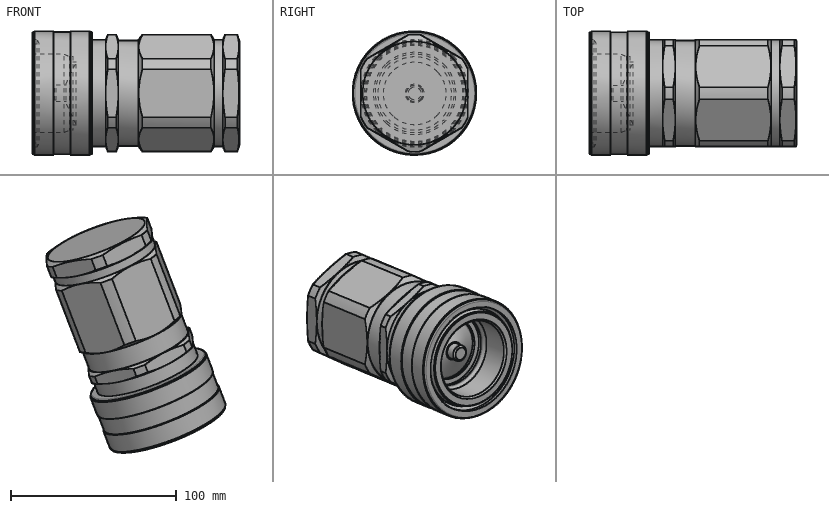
import cadquery as cq
import math

total_length = 125.0
tolerance = 0.01

sleeve_radius = 74.9 / 2
band_radius = 73.9 / 2
sleeve_end = 36.0
band_start = 12.5
band_end = 23.3
sleeve_front_step = 1.0
sleeve_front_bevel = 0.4
sleeve_end_fillet = 0.8
band_bevel = 0.4
sleeve_rear_step = 35.1
sleeve_rear_bevel = 0.8

neck_radius = 64.7 / 2
middle_neck_radius = 63.9 / 2

across_flats = 64.7
hex_corner_radius = 35.4
hex_face_radius = 64.3 / 2
end_face_radius = 31.3
front_hex = (44.1, 51.9)
body_hex = (64.0, 109.7)
end_hex = (114.9, total_length)
nut_bevel = 1.4
body_front_bevel = 2.4
body_rear_bevel = 1.9

channel_mouth_radius = 32.5
channel_floor_radius = 30.5
channel_wall_depth = 2.5
channel_depth = 3.8
tube_tip_radius = 58.0 / 2
tube_lip_radius = 29.6
tube_lip_length = 0.6
tube_root_radius = 30.4

bore_mouth_radius = 24.9
bore_radius = 23.8
bore_mouth_depth = 1.3
bore_depth = 18.8
seat_start = 21.6
seat_bevel = 0.6
seat_bevel_radius = 22.5
seat_radius = 44.4 / 2
seat_depth = 24.4
cavity_radius = 37.9 / 2
cavity_depth = 26.3

cone_base_radius = 17.9
cone_tip_radius = 5.6
cone_rim_height = 0.5
cone_height = 6.3
pin_radius = 9.9 / 2
pin_tip_radius = 3.9
pin_tip_chamfer = 1.0
pin_start = 13.1


def revolve_about_x(points):
    """Solid of revolution from an (x, radius) outline that closes on the axis."""
    outline = [(points[0][0], 0)] + points + [(points[-1][0], 0)]
    return cq.Workplane("XY").polyline(outline).close().revolve(360, (0, 0, 0), (1, 0, 0))


def hexagon(span, front_bevel, rear_bevel, rear_face_radius=hex_face_radius):
    """Hexagonal prism with turned corners and conical bevels at both ends."""
    start, end = span
    turned = revolve_about_x([
        (start, hex_face_radius),
        (start + front_bevel, hex_corner_radius),
        (end - rear_bevel, hex_corner_radius),
        (end, rear_face_radius),
    ])
    across_corners = across_flats / math.cos(math.pi / 6)
    prism = (
        cq.Workplane("YZ", origin=(start, 0, 0))
        .transformed(rotate=(0, 0, 90))
        .polygon(6, across_corners)
        .extrude(end - start)
    )
    return turned.intersect(prism)


def outer_body():
    """Turned outside: banded sleeve with rounded rims, necks and rear end."""
    blank = revolve_about_x([
        (0, band_radius),
        (sleeve_front_step, band_radius),
        (sleeve_front_step + sleeve_front_bevel, sleeve_radius),
        (band_start, sleeve_radius),
        (band_start + band_bevel, band_radius),
        (band_end - band_bevel, band_radius),
        (band_end, sleeve_radius),
        (sleeve_rear_step - sleeve_rear_bevel, sleeve_radius),
        (sleeve_rear_step, band_radius),
        (sleeve_end, band_radius),
        (sleeve_end, neck_radius),
        (front_hex[1], neck_radius),
        (front_hex[1], middle_neck_radius),
        (body_hex[1], middle_neck_radius),
        (body_hex[1], neck_radius),
        (end_hex[0], neck_radius),
        (end_hex[0], end_face_radius),
        (total_length, end_face_radius),
    ])
    rims = blank.edges("%CIRCLE").filter(
        lambda edge: abs(edge.radius() - band_radius) < tolerance
        and min(edge.Center().x, abs(edge.Center().x - sleeve_end)) < tolerance
    )
    return rims.fillet(sleeve_end_fillet)


def mouth_cut():
    """Annular channel and stepped bore as one volume to remove."""
    recess = revolve_about_x([
        (0, channel_mouth_radius),
        (channel_wall_depth, channel_mouth_radius),
        (channel_depth, channel_floor_radius),
    ])
    tube = revolve_about_x([
        (0, tube_tip_radius),
        (tube_lip_length, tube_lip_radius),
        (channel_depth, tube_root_radius),
    ])
    bore = revolve_about_x([
        (0, bore_mouth_radius),
        (bore_mouth_depth, bore_radius),
        (bore_depth, bore_radius),
        (seat_start, seat_bevel_radius),
        (seat_start + seat_bevel, seat_radius),
        (seat_depth, seat_radius),
        (seat_depth, cavity_radius),
        (cavity_depth, cavity_radius),
    ])
    return recess.cut(tube).union(bore)


def centre_contact():
    """Insulator cone with a chamfered pin at its tip."""
    return revolve_about_x([
        (pin_start, pin_tip_radius),
        (pin_start + pin_tip_chamfer, pin_radius),
        (cavity_depth - cone_height, pin_radius),
        (cavity_depth - cone_height, cone_tip_radius),
        (cavity_depth - cone_rim_height, cone_base_radius),
        (cavity_depth, cavity_radius),
    ])


result = (
    outer_body()
    .union(hexagon(front_hex, nut_bevel, nut_bevel))
    .union(hexagon(body_hex, body_front_bevel, body_rear_bevel))
    .union(hexagon(end_hex, nut_bevel, nut_bevel, end_face_radius))
    .cut(mouth_cut())
    .union(centre_contact())
)